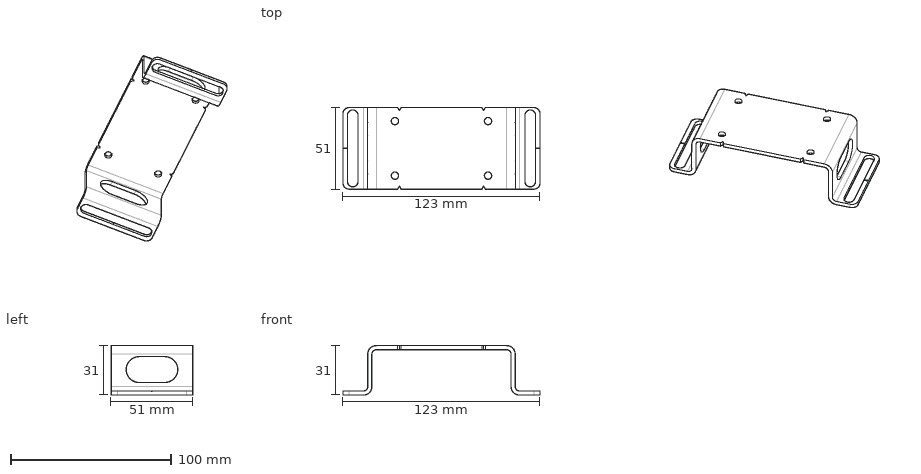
import cadquery as cq

length = 123.0
width = 51.0
height = 31.0

thickness = 2.7
inner_bend_radius = 2.7
wall_offset = 15.5
foot_corner_radius = 4.0

hole_diameter = 4.4
hole_spacing_x = 58.0
hole_spacing_y = 34.0

notch_spacing = 52.4
notch_width = 2.2
notch_depth = 1.8

slot_length = 47.8
slot_width = 6.5
slot_edge_offset = 6.2

window_length = 32.0
window_height = 16.0
window_center_z = 16.0

index_width = 0.3
index_depth = 0.3
index_right_gap = 0.6

half_length = length / 2
half_width = width / 2
wall_outer_x = half_length - wall_offset
slot_x = half_length - slot_edge_offset


def make_sheet():
    """Folded hat section: deck, two walls and two feet, joined by round bends."""
    mid_plane = thickness / 2
    bend_radius = inner_bend_radius + mid_plane
    wall_x = wall_outer_x - mid_plane
    deck_z = height - mid_plane
    foot_bend_x = wall_x + bend_radius
    deck_bend_x = wall_x - bend_radius
    center_line = (
        cq.Workplane("XZ")
        .moveTo(-half_length, mid_plane)
        .lineTo(-foot_bend_x, mid_plane)
        .tangentArcPoint((-wall_x, mid_plane + bend_radius), relative=False)
        .lineTo(-wall_x, deck_z - bend_radius)
        .tangentArcPoint((-deck_bend_x, deck_z), relative=False)
        .lineTo(deck_bend_x, deck_z)
        .tangentArcPoint((wall_x, deck_z - bend_radius), relative=False)
        .lineTo(wall_x, mid_plane + bend_radius)
        .tangentArcPoint((foot_bend_x, mid_plane), relative=False)
        .lineTo(half_length, mid_plane)
    )
    cross_section = cq.Workplane("YZ", origin=(-half_length, 0, mid_plane)).rect(width, thickness)
    return cross_section.sweep(center_line)


def round_foot_corners(bracket):
    """Round the four outer corners of the feet."""
    for end in ("<X", ">X"):
        bracket = bracket.faces(end).edges("|Z").fillet(foot_corner_radius)
    return bracket


def make_mounting_holes():
    """Four round cutters through the deck."""
    return (
        cq.Workplane("XY", origin=(0, 0, height - thickness))
        .rect(hole_spacing_x, hole_spacing_y, forConstruction=True)
        .vertices()
        .circle(hole_diameter / 2)
        .extrude(thickness)
    )


def make_notches():
    """Four V-shaped cutters in the long edges of the deck."""
    notches = cq.Workplane("XY", origin=(0, 0, height - thickness))
    for x in (-notch_spacing / 2, notch_spacing / 2):
        for side in (-1, 1):
            notches = (
                notches.moveTo(x - notch_width / 2, side * half_width)
                .lineTo(x, side * (half_width - notch_depth))
                .lineTo(x + notch_width / 2, side * half_width)
                .close()
            )
    return notches.extrude(thickness)


def make_foot_slots():
    """One long slot cutter through each foot, running across the width."""
    return (
        cq.Workplane("XY")
        .pushPoints([(-slot_x, 0), (slot_x, 0)])
        .slot2D(slot_length, slot_width, 90)
        .extrude(thickness)
    )


def make_wall_windows():
    """One oval cutter running along X through both walls."""
    return (
        cq.Workplane("YZ", origin=(0, 0, window_center_z))
        .slot2D(window_length, window_height)
        .extrude(wall_outer_x, both=True)
    )


def make_index_line(start_x, end_x):
    """Shallow groove cutter in the top of a foot, from start_x to end_x."""
    return (
        cq.Workplane("XY", origin=((start_x + end_x) / 2, 0, thickness - index_depth))
        .rect(end_x - start_x, index_width)
        .extrude(index_depth)
    )


result = round_foot_corners(make_sheet())
result = result.cut(make_mounting_holes())
result = result.cut(make_notches())
result = result.cut(make_foot_slots())
result = result.cut(make_wall_windows())
result = result.cut(make_index_line(-half_length, -slot_x))
result = result.cut(make_index_line(slot_x, half_length - index_right_gap))